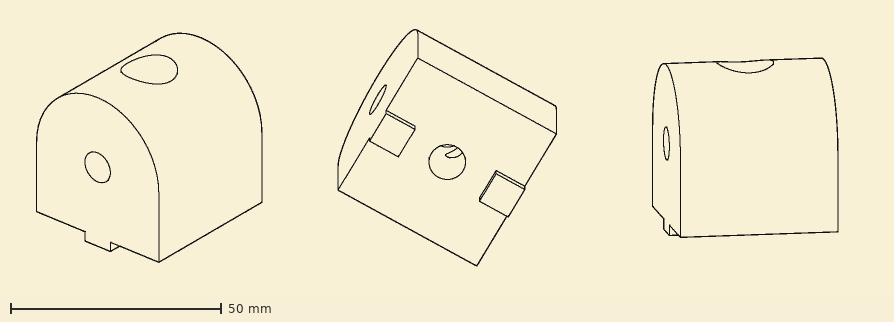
import cadquery as cq

total_height = 40.65
tab_height = total_height / 16
body_height = total_height - tab_height
body_width = body_height
body_length = body_width
crown_radius = body_width / 2
axis_height = body_height - crown_radius

cross_hole_diameter = 7.92
tab_width = cross_hole_diameter
tab_length = 7.92

bolt_hole_diameter = 8.7
counterbore_diameter = 13.5
counterbore_depth = body_height / 3


def make_body():
    """Block with a half-round crown, extruded along Y."""
    half_width = body_width / 2
    return (
        cq.Workplane("XZ")
        .moveTo(-half_width, 0)
        .lineTo(half_width, 0)
        .lineTo(half_width, axis_height)
        .threePointArc((0, body_height), (-half_width, axis_height))
        .close()
        .extrude(body_length / 2, both=True)
    )


def make_tabs():
    """Locating tabs under the body, flush with its two end faces."""
    tab_offset = (body_length - tab_length) / 2
    return (
        cq.Workplane("XY")
        .pushPoints([(0, -tab_offset), (0, tab_offset)])
        .rect(tab_width, tab_length)
        .extrude(-tab_height)
    )


def make_cross_hole():
    """Through hole along Y, concentric with the crown."""
    return (
        cq.Workplane("XZ")
        .center(0, axis_height)
        .circle(cross_hole_diameter / 2)
        .extrude(body_length, both=True)
    )


def make_bolt_hole():
    """Vertical through hole, counterbored from the top of the crown."""
    bore = cq.Workplane("XY").circle(bolt_hole_diameter / 2).extrude(body_height)
    counterbore = (
        cq.Workplane("XY")
        .workplane(offset=body_height - counterbore_depth)
        .circle(counterbore_diameter / 2)
        .extrude(counterbore_depth)
    )
    return bore.union(counterbore)


result = make_body().union(make_tabs()).cut(make_cross_hole()).cut(make_bolt_hole())